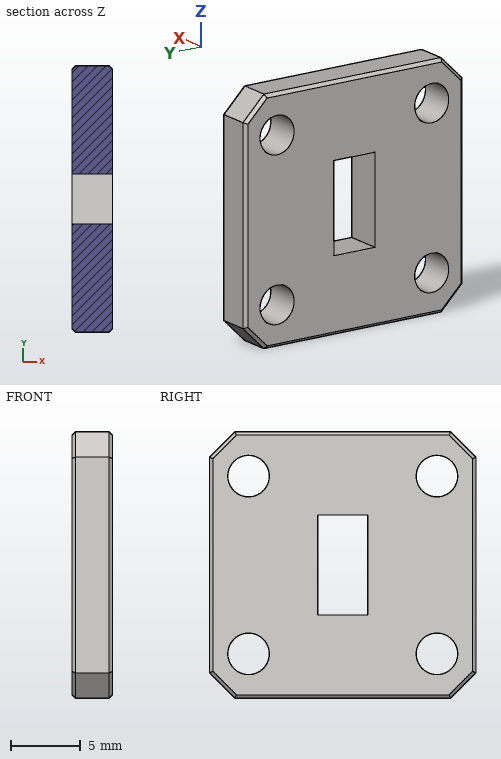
import cadquery as cq

side = 19.05
thickness = 2.92
corner_cut = 1.82
edge_chamfer = 0.254

opening_y = 3.556
opening_z = 7.112

hole_diameter = 2.95
hole_spacing_y = 13.46
hole_spacing_z = 12.70


def face_sketch():
    """Workplane on the -X face of the plate, with its normal along +X."""
    return cq.Workplane("YZ", origin=(-thickness / 2, 0, 0))


def flange_blank():
    """Square plate with cut corners and both face perimeters chamfered."""
    plate = face_sketch().rect(side, side).extrude(thickness)
    plate = plate.edges("|X").chamfer(corner_cut)
    return plate.faces("<X or >X").edges().chamfer(edge_chamfer)


def cut_opening(body):
    """Waveguide opening straight through the centre of the plate."""
    opening = face_sketch().rect(opening_y, opening_z).extrude(thickness)
    return body.cut(opening)


def cut_screw_holes(body):
    """One plain through hole near each corner."""
    holes = (
        face_sketch()
        .rect(hole_spacing_y, hole_spacing_z, forConstruction=True)
        .vertices()
        .circle(hole_diameter / 2)
        .extrude(thickness)
    )
    return body.cut(holes)


result = cut_screw_holes(cut_opening(flange_blank()))